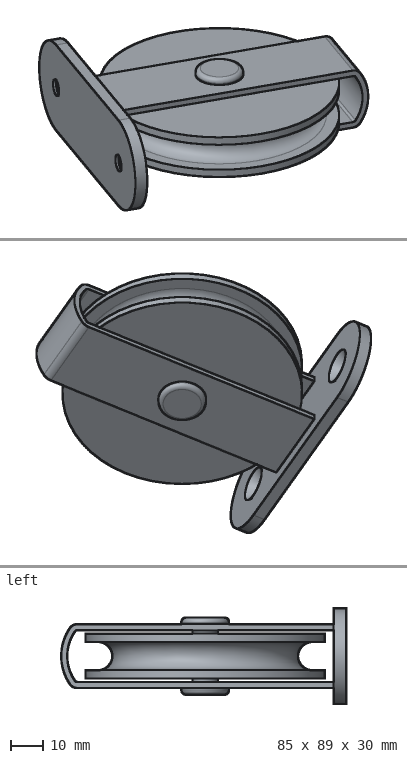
import cadquery as cq
import math

plate_length = 85.0
plate_height = 30.0
plate_thickness = 4.0
screw_hole_diameter = 5.25
screw_hole_depth = 1.0
countersink_diameter = 11.0
screw_hole_spacing = 55.1

overall_depth = 89.0
strap_width = 25.0
strap_thickness = 2.0
strap_outer_height = 20.0
bend_start_y = 83.8
outer_corner_radius = 3.0

axle_y = 44.05
wheel_radius = 37.4
wheel_thickness = 14.0
groove_depth = 8.4
groove_radius = 4.4

axle_radius = 4.0
head_radius = 7.5
head_height = 2.05
head_fillet = 1.5


def make_screw_hole():
    """Straight bore from the outer face, flaring into a countersink on the strap side."""
    bore_radius = screw_hole_diameter / 2
    countersink_radius = countersink_diameter / 2
    profile = (
        cq.Workplane("XY")
        .lineTo(bore_radius, 0)
        .lineTo(bore_radius, screw_hole_depth)
        .lineTo(countersink_radius, plate_thickness)
        .lineTo(0, plate_thickness)
        .close()
    )
    return profile.revolve(360, (0, 0, 0), (0, 1, 0))


def make_plate():
    """Round-ended plate with two countersunk screw holes."""
    plate = cq.Workplane("XZ").slot2D(plate_length, plate_height).extrude(-plate_thickness)
    for side in (-1, 1):
        hole_x = side * screw_hole_spacing / 2
        plate = plate.cut(make_screw_hole().translate((hole_x, 0, 0)))
    return plate


def make_loop(half_height, end_y, corner_radius):
    """Solid block with a rounded far end: a shallow arc blended into both flat sides."""
    rise = end_y - bend_start_y
    corner_z = half_height - corner_radius
    end_radius = (rise**2 + corner_z**2 - corner_radius**2) / (2 * (rise - corner_radius))
    end_center_y = end_y - end_radius

    tangent_angle = math.atan2(corner_z, bend_start_y - end_center_y)
    middle_angle = (tangent_angle + math.pi / 2) / 2
    tangent_y = bend_start_y + corner_radius * math.cos(tangent_angle)
    tangent_z = corner_z + corner_radius * math.sin(tangent_angle)
    middle_y = bend_start_y + corner_radius * math.cos(middle_angle)
    middle_z = corner_z + corner_radius * math.sin(middle_angle)

    profile = (
        cq.Workplane("YZ")
        .moveTo(plate_thickness, half_height)
        .lineTo(bend_start_y, half_height)
        .threePointArc((middle_y, middle_z), (tangent_y, tangent_z))
        .threePointArc((end_y, 0), (tangent_y, -tangent_z))
        .threePointArc((middle_y, -middle_z), (bend_start_y, -half_height))
        .lineTo(plate_thickness, -half_height)
        .close()
    )
    return profile.extrude(strap_width / 2, both=True)


def make_strap():
    """Bent strip of constant thickness: an outer loop less the same loop offset inward."""
    outer_half_height = strap_outer_height / 2
    outer = make_loop(outer_half_height, overall_depth, outer_corner_radius)
    inner = make_loop(
        outer_half_height - strap_thickness,
        overall_depth - strap_thickness,
        outer_corner_radius - strap_thickness,
    )
    return outer.cut(inner)


def make_wheel():
    """Disc revolved with a round-bottomed rope groove in its rim."""
    half_thickness = wheel_thickness / 2
    groove_bottom = wheel_radius - groove_depth
    groove_center = groove_bottom + groove_radius
    profile = (
        cq.Workplane("XZ")
        .moveTo(0, -half_thickness)
        .lineTo(wheel_radius, -half_thickness)
        .lineTo(wheel_radius, -groove_radius)
        .lineTo(groove_center, -groove_radius)
        .threePointArc((groove_bottom, 0), (groove_center, groove_radius))
        .lineTo(wheel_radius, groove_radius)
        .lineTo(wheel_radius, half_thickness)
        .lineTo(0, half_thickness)
        .close()
    )
    return profile.revolve(360, (0, 0, 0), (0, 1, 0)).translate((0, axle_y, 0))


def make_axle():
    """Pin through both strap legs, capped by two filleted heads."""
    head_base_z = strap_outer_height / 2
    pin = cq.Workplane("XY").circle(axle_radius).extrude(head_base_z, both=True)
    top_head = (
        cq.Workplane("XY", origin=(0, 0, head_base_z))
        .circle(head_radius)
        .extrude(head_height)
        .faces(">Z")
        .edges()
        .fillet(head_fillet)
    )
    bottom_head = top_head.mirror("XY")
    return pin.union(top_head).union(bottom_head).translate((0, axle_y, 0))


result = make_plate().union(make_strap()).union(make_wheel()).union(make_axle())